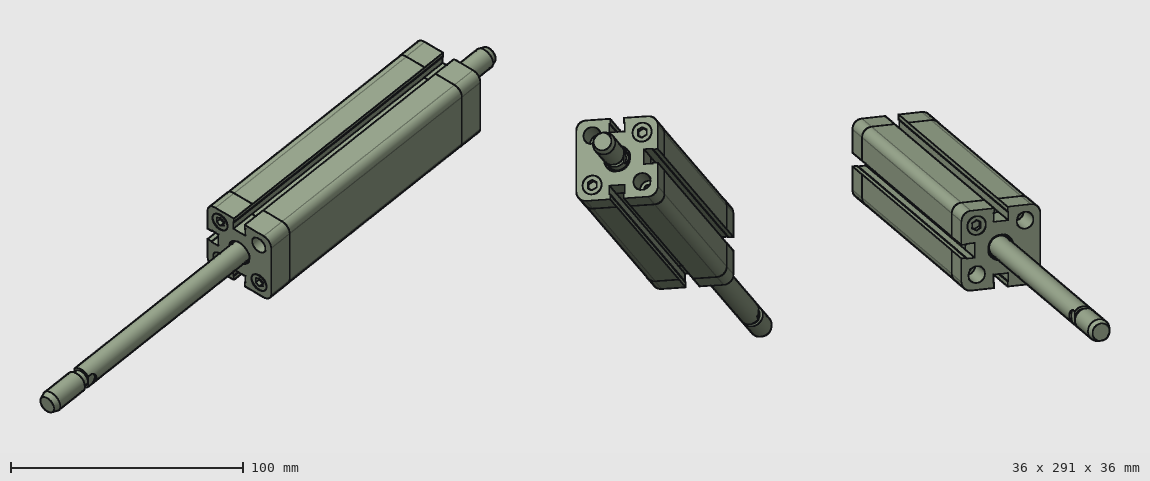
import cadquery as cq

total_length = 291.0
rear_reach = 26.5
body_length = 138.0
front_reach = total_length - rear_reach - body_length

body_width = 36.0
corner_radius = 4.5
cap_overhang = 0.05
barrel_width = body_width - 2 * cap_overhang
cap_length = 12.2
slot_width = 6.7
slot_depth = 6.0
slot_mouth_width = 6.0
slot_lip = 2.3

hole_offset = 11.0
through_diameter = 4.0
mount_bore_diameter = 7.5
mount_bore_depth = 12.2
screw_bore_diameter = 8.5
screw_head_recess = 0.3
socket_corner_diameter = 4.7
socket_depth = 2.3

rod_diameter = 10.0
rod_clearance_diameter = 11.5
rod_clearance_depth = 1.2
tip_diameter = 8.0
tip_chamfer_length = 3.0
thread_length = 19.2
neck_diameter = 7.5
neck_length = 3.2
neck_taper = 1.0
flat_length = 4.5
flat_end_radius = 3.5
flat_width = 8.0

front_face = front_reach - total_length / 2
rear_face = front_face + body_length


def round_bar(diameter, start, length):
    """Cylinder on the Y axis running towards +Y from the given start."""
    return cq.Workplane("XZ", origin=(0, start, 0)).circle(diameter / 2).extrude(-length)


def make_slot(surface, length):
    """Undercut groove below the height `surface`, wider at its floor than at its mouth."""
    undercut_depth = slot_depth - slot_lip
    mouth = cq.Workplane("XY").box(slot_mouth_width, length, slot_lip)
    mouth = mouth.translate((0, 0, surface - slot_lip / 2))
    undercut = cq.Workplane("XY").box(slot_width, length, undercut_depth)
    undercut = undercut.translate((0, 0, surface - slot_lip - undercut_depth / 2))
    return mouth.union(undercut)


def grooved_bar(width, start, length):
    """Square bar along Y with rounded long edges, grooved on its top, bottom and -X sides."""
    bar = cq.Workplane("XY").box(width, length, width)
    bar = bar.edges("|Y").fillet(corner_radius)
    slot = make_slot(width / 2, length)
    for angle in (0, -90, 180):
        bar = bar.cut(slot.rotate((0, 0, 0), (0, 1, 0), angle))
    return bar.translate((0, start + length / 2, 0))


def make_body():
    """Barrel between two slightly wider end caps."""
    barrel_length = body_length - 2 * cap_length
    body = grooved_bar(barrel_width, front_face + cap_length, barrel_length)
    for cap_start in (front_face, rear_face - cap_length):
        body = body.union(grooved_bar(body_width, cap_start, cap_length))
    return body


def cut_bores(body, diameter, depth, centres):
    """Cut the same round bore from both end faces of the body."""
    for start in (front_face, rear_face - depth):
        bore = round_bar(diameter, start, depth)
        for x, z in centres:
            body = body.cut(bore.translate((x, 0, z)))
    return body


def cut_corner_holes(body):
    """Counterbored mounting holes on one diagonal, recessed screw heads on the other."""
    mount_centres = [(hole_offset, hole_offset), (-hole_offset, -hole_offset)]
    screw_centres = [(-hole_offset, hole_offset), (hole_offset, -hole_offset)]
    body = cut_bores(body, through_diameter, body_length, mount_centres)
    body = cut_bores(body, mount_bore_diameter, mount_bore_depth, mount_centres)
    body = cut_bores(body, screw_bore_diameter, screw_head_recess, screw_centres)

    depth = screw_head_recess + socket_depth
    for start in (front_face, rear_face - depth):
        socket = cq.Workplane("XZ", origin=(0, start, 0)).polygon(6, socket_corner_diameter)
        socket = socket.extrude(-depth).rotate((0, 0, 0), (0, 1, 0), 90)
        for x, z in screw_centres:
            body = body.cut(socket.translate((x, 0, z)))
    return body


def make_rod():
    """Turned rod with the same threaded end, neck and wrench flats at both ends."""
    tip = total_length / 2
    thread_start = tip - thread_length
    neck_start = thread_start - neck_length
    rear_half = [
        (rod_diameter / 2, neck_start),
        (neck_diameter / 2, neck_start),
        (neck_diameter / 2, thread_start - neck_taper),
        (rod_diameter / 2, thread_start),
        (rod_diameter / 2, tip - tip_chamfer_length),
        (tip_diameter / 2, tip),
        (0, tip),
    ]
    front_half = [(radius, -y) for radius, y in reversed(rear_half)]
    rod = cq.Workplane("XY").polyline(front_half + rear_half).close()
    rod = rod.revolve(360, (0, 0, 0), (0, 1, 0))

    flat_depth = (rod_diameter - flat_width) / 2
    straight = flat_length - flat_end_radius
    cutter = cq.Workplane("YZ").moveTo(0, flat_end_radius).lineTo(-straight, flat_end_radius)
    cutter = cutter.threePointArc((-flat_length, 0), (-straight, -flat_end_radius))
    cutter = cutter.lineTo(0, -flat_end_radius).close().extrude(flat_depth)
    cutter = cutter.translate((flat_width / 2, neck_start, 0))
    for angle in (0, 180):
        rear_cutter = cutter.rotate((0, 0, 0), (0, 1, 0), angle)
        rod = rod.cut(rear_cutter).cut(rear_cutter.mirror("XZ"))
    return rod


body = cut_corner_holes(make_body())
body = cut_bores(body, rod_clearance_diameter, rod_clearance_depth, [(0, 0)])
result = body.union(make_rod())